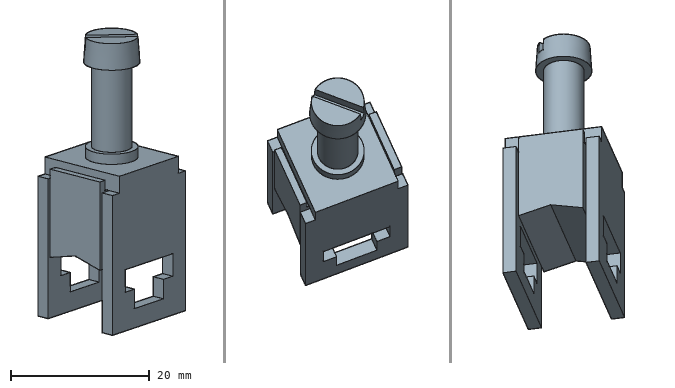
import cadquery as cq

total_height = 41.9
frame_width = 14.3
plate_depth = 16.0
plate_thickness = 1.95
plate_height = 21.1
cap_depth = 12.95
cap_top = 23.67

window_bottom = 2.95
window_step = 5.85
window_top = 9.25
window_wide = 10.4
window_narrow = 6.3

block_width = 9.5
block_center_x = -0.05
block_front = -plate_depth / 2
block_back = 7.88
block_bottom = 9.35
notch_peak = 10.5
lip_top = 22.65
lip_inner = 6.85

collar_radius = 3.8
collar_top = 25.22
shank_radius = 2.95
head_bottom = 37.95
head_bottom_radius = 4.05
head_top_radius = 3.8
slot_width = 1.15
slot_depth = 1.85
slot_angle = 45.0


def box_between(x_range, y_range, z_range):
    """Axis-aligned box given by its limits along each axis."""
    sizes = [high - low for low, high in (x_range, y_range, z_range)]
    corner = (x_range[0], y_range[0], z_range[0])
    return cq.Workplane("XY").box(*sizes, centered=False).translate(corner)


def make_frame():
    half_width = frame_width / 2
    half_depth = plate_depth / 2
    cap_half_depth = cap_depth / 2
    frame = box_between(
        (-half_width, half_width), (-cap_half_depth, cap_half_depth), (plate_height, cap_top)
    )
    for left in (-half_width, half_width - plate_thickness):
        x_range = (left, left + plate_thickness)
        frame = frame.union(box_between(x_range, (-half_depth, half_depth), (0, plate_height)))

    across = (-half_width, half_width)
    for width, bottom in ((window_narrow, window_bottom), (window_wide, window_step)):
        frame = frame.cut(box_between(across, (-width / 2, width / 2), (bottom, window_top)))
    return frame


def make_clamp_block():
    """Block with a V-notched underside; its lips stand clear of the cap."""
    left = block_center_x - block_width / 2
    right = block_center_x + block_width / 2
    block = (
        cq.Workplane("XZ", origin=(0, block_back, 0))
        .moveTo(left, block_bottom)
        .lineTo(block_center_x, notch_peak)
        .lineTo(right, block_bottom)
        .lineTo(right, plate_height)
        .lineTo(left, plate_height)
        .close()
        .extrude(block_back - block_front)
    )
    for y_range in ((block_front, -lip_inner), (lip_inner, block_back)):
        block = block.union(box_between((left, right), y_range, (plate_height, lip_top)))
    return block


def make_screw():
    """Collar, shank and tapered head revolved about Z, then slotted."""
    screw = (
        cq.Workplane("XZ")
        .moveTo(0, cap_top)
        .lineTo(collar_radius, cap_top)
        .lineTo(collar_radius, collar_top)
        .lineTo(shank_radius, collar_top)
        .lineTo(shank_radius, head_bottom)
        .lineTo(head_bottom_radius, head_bottom)
        .lineTo(head_top_radius, total_height)
        .lineTo(0, total_height)
        .close()
        .revolve(360, (0, 0), (0, 1))
    )
    slot = box_between(
        (-head_bottom_radius, head_bottom_radius),
        (-slot_width / 2, slot_width / 2),
        (total_height - slot_depth, total_height),
    )
    return screw.cut(slot.rotate((0, 0, 0), (0, 0, 1), slot_angle))


result = make_frame().union(make_clamp_block()).union(make_screw())